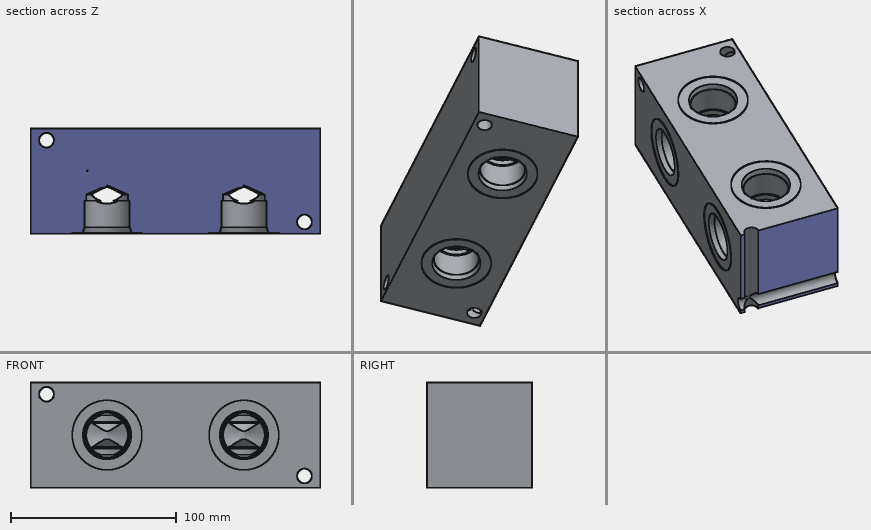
import cadquery as cq
import math

LENGTH = 174.62
SIDE = 63.5
HALF_SIDE = SIDE / 2

PORT_SPACING = 82.55
SPOTFACE_DIAMETER = 42.04
SPOTFACE_DEPTH = 0.5
MOUTH_DIAMETER = 29.2
SEAT_DIAMETER = 27.43
SEAT_DEPTH = 3.8
THREAD_DIAMETER = 26.99
THREAD_DEPTH = 19.8
BORE_DIAMETER = 25.0
BORE_DEPTH = 23.55
BORE_POINT_ANGLE = 132

PILOT_DIAMETER = 23.0
PILOT_DEPTH = 31.6
PILOT_POINT_ANGLE = 118

MOUNT_DIAMETER = 8.74
MOUNT_END_INSET = 9.53
MOUNT_EDGE_INSET = 7.1


def cone_height(diameter, point_angle):
    """Height of a drill point from its rim to its tip."""
    return diameter / 2 / math.tan(math.radians(point_angle / 2))


def revolve_about_z(profile):
    """Close a half profile drawn in the XZ plane and revolve it about Z."""
    return profile.close().revolve(360, (0, 0, 0), (0, 1, 0))


def make_port():
    """Stepped port cavity along Z, entering the face z = HALF_SIDE."""
    spotface_z = HALF_SIDE - SPOTFACE_DEPTH
    seat_z = HALF_SIDE - SEAT_DEPTH
    thread_z = HALF_SIDE - THREAD_DEPTH
    bore_z = HALF_SIDE - BORE_DEPTH
    profile = (
        cq.Workplane("XZ")
        .moveTo(0, HALF_SIDE)
        .lineTo(SPOTFACE_DIAMETER / 2, HALF_SIDE)
        .lineTo(SPOTFACE_DIAMETER / 2, spotface_z)
        .lineTo(MOUTH_DIAMETER / 2, spotface_z)
        .lineTo(SEAT_DIAMETER / 2, seat_z)
        .lineTo(THREAD_DIAMETER / 2, seat_z)
        .lineTo(THREAD_DIAMETER / 2, thread_z)
        .lineTo(BORE_DIAMETER / 2, thread_z)
        .lineTo(BORE_DIAMETER / 2, bore_z)
        .lineTo(0, bore_z - cone_height(BORE_DIAMETER, BORE_POINT_ANGLE))
    )
    return revolve_about_z(profile)


def make_pilot():
    """Pointed pilot hole along Z, entering the face z = HALF_SIDE."""
    tip_z = HALF_SIDE - PILOT_DEPTH
    profile = (
        cq.Workplane("XZ")
        .moveTo(0, HALF_SIDE)
        .lineTo(PILOT_DIAMETER / 2, HALF_SIDE)
        .lineTo(PILOT_DIAMETER / 2, tip_z + cone_height(PILOT_DIAMETER, PILOT_POINT_ANGLE))
        .lineTo(0, tip_z)
    )
    return revolve_about_z(profile)


def cut_ports(body):
    """Cut the top, bottom and front ports at both stations."""
    port = make_port()
    top_port = port.union(make_pilot())
    bottom_port = top_port.rotate((0, 0, 0), (1, 0, 0), 180)
    front_port = port.rotate((0, 0, 0), (1, 0, 0), 90)
    for x in (-PORT_SPACING / 2, PORT_SPACING / 2):
        for cavity in (top_port, bottom_port, front_port):
            body = body.cut(cavity.translate((x, 0, 0)))
    return body


def cut_mounting_holes(body):
    """Cut crossing pairs of through holes, along Z and along Y, near opposite corners."""
    end_offset = LENGTH / 2 - MOUNT_END_INSET
    edge_offset = HALF_SIDE - MOUNT_EDGE_INSET
    corners = [(-end_offset, edge_offset), (end_offset, -edge_offset)]
    for plane in ("XY", "XZ"):
        circles = cq.Workplane(plane).pushPoints(corners).circle(MOUNT_DIAMETER / 2)
        body = body.cut(circles.extrude(HALF_SIDE, both=True))
    return body


block = cq.Workplane("XY").box(LENGTH, SIDE, SIDE)
result = cut_mounting_holes(cut_ports(block))